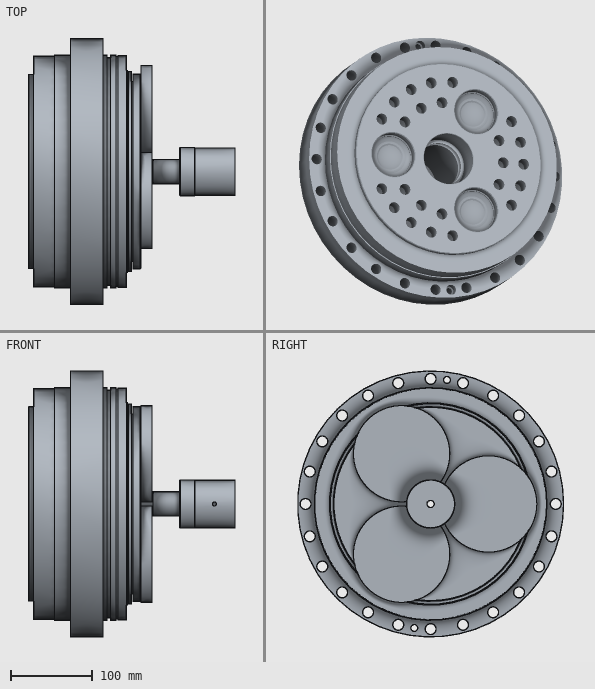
import cadquery as cq
import math


flange_start = 51.5
flange_end = 91.3

boss_diameter = 237.5
boss_end = 6.5
carrier_diameter = 238.0
carrier_end = 137.5
edge_chamfer = 1.0

housing_steps = [
    (282.0, 32.0),
    (284.5, flange_start),
    (325, flange_end),
    (284.5, 96.2),
    (278.2, 100.5),
    (284.5, 107.0),
    (281.0, 109.2),
    (283.0, 119.5),
    (247.3, 121.2),
    (242.0, 122.5),
    (244.7, 125.8),
    (220.5, 127.7),
]

bore_diameter = 63.0
bore_depth = 36.0
rear_bore_diameter = 55.0
bore_chamfer = 0.5
lip_thickness = 1.3
undercut_diameter = 91
undercut_width = 9.8

crank_count = 3
crank_radius = 71.0
pocket_diameter = 55.0
pocket_depth = 11.5
pocket_chamfer = 1.0
seat_outer_diameter = 51.7
seat_inner_diameter = 39.5
seat_start = 12.5
seat_depth = 13.5
recess_outer_diameter = 33.8
recess_inner_diameter = 30.2
recess_depth = 14.3
gear_radius = 58.8
gear_start = carrier_end
gear_end = 151.0

pinion_diameter = 26
pinion_start = 135.0
pinion_chamfer_length = 1.3
pinion_tip_diameter = 19.2
pinion_end = 152.5
shaft_diameter = 30.0
collar_diameter = 59.0
collar_start = 184.3
collar_end = 203.0
collar_chamfer = 1.3
sleeve_diameter = 58.2
overall_length = 252.5
shaft_bore_diameter = 8.5
pin_hole_diameter = 5.0
pin_hole_x = 227.2

bolt_count = 24
bolt_circle_radius = 152.8
bolt_hole_diameter = 13
dowel_angles = [97.5, 277.5]
dowel_hole_diameter = 8.0
dowel_counterbore_diameter = 12.5
dowel_counterbore_depth = 9.8

group_angles = [0, 120, 240]
outer_row_radius = 96.2
outer_row_offsets = [-33, -16.5, 0, 16.5, 33]
inner_row_radius = 70.2
inner_row_offsets = [-23, 0, 23]
tapped_hole_diameter = 13.5
tapped_hole_depth = 19.5
drill_point_angle = 118
flat_bottom_angle = 240


def polar(radius, angle):
    """Position (y, z) at an angle measured from -Y towards +Z."""
    turn = math.radians(angle)
    return -radius * math.cos(turn), radius * math.sin(turn)


def revolve_x(profile):
    """Turn a closed (x, radius) outline about the X axis."""
    return cq.Workplane("XY").polyline(profile).close().revolve(360, (0, 0, 0), (1, 0, 0))


def cylinder(x_start, x_end, diameter, position=(0, 0)):
    """Round bar parallel to X, centred on a (y, z) position."""
    face = cq.Workplane("YZ", origin=(x_start, *position))
    return face.circle(diameter / 2).extrude(x_end - x_start)


def make_housing():
    """Stepped body with a chamfered front boss and a chamfered rear carrier."""
    boss_radius = boss_diameter / 2
    profile = [
        (0, 0),
        (0, boss_radius - edge_chamfer),
        (edge_chamfer, boss_radius),
        (boss_end, boss_radius),
    ]
    step_start = boss_end
    for diameter, step_end in housing_steps:
        profile += [(step_start, diameter / 2), (step_end, diameter / 2)]
        step_start = step_end
    carrier_radius = carrier_diameter / 2
    profile += [
        (step_start, carrier_radius),
        (carrier_end - edge_chamfer, carrier_radius),
        (carrier_end, carrier_radius - edge_chamfer),
        (carrier_end, 0),
    ]
    return revolve_x(profile)


def make_central_bore():
    """Front bore, thin lip, undercut behind the lip, then a plain bore to the back."""
    wide = bore_diameter / 2
    narrow = rear_bore_diameter / 2
    undercut = undercut_diameter / 2
    lip_end = bore_depth + lip_thickness
    undercut_end = lip_end + undercut_width
    return revolve_x([
        (0, 0),
        (0, wide + bore_chamfer),
        (bore_chamfer, wide),
        (bore_depth, wide),
        (bore_depth, narrow),
        (lip_end, narrow),
        (lip_end, undercut),
        (undercut_end, undercut),
        (undercut_end, narrow),
        (carrier_end, narrow),
        (carrier_end, 0),
    ])


def make_crank_pocket():
    """Stepped pocket on the X axis: wall, conical seat, then a tapered end recess."""
    radius = pocket_diameter / 2
    return revolve_x([
        (0, 0),
        (0, radius + pocket_chamfer),
        (pocket_chamfer, radius),
        (pocket_depth, radius),
        (pocket_depth, seat_outer_diameter / 2),
        (seat_start, seat_outer_diameter / 2),
        (seat_depth, seat_inner_diameter / 2),
        (seat_depth, recess_outer_diameter / 2),
        (recess_depth, recess_inner_diameter / 2),
        (recess_depth, 0),
    ])


def make_tapped_hole(pointed):
    """Blind hole on the X axis, with a drill point or a flat bottom."""
    radius = tapped_hole_diameter / 2
    point_length = radius / math.tan(math.radians(drill_point_angle / 2)) if pointed else 0
    profile = [(0, 0), (0, radius), (tapped_hole_depth, radius)]
    profile.append((tapped_hole_depth + point_length, 0))
    return revolve_x(profile)


def make_input_shaft():
    """Pinion, shaft, collar and coupling sleeve in one piece, bored through."""
    pinion = pinion_diameter / 2
    shaft = shaft_diameter / 2
    collar = collar_diameter / 2
    sleeve = sleeve_diameter / 2
    sleeve_start = collar_end + (collar - sleeve)
    body = revolve_x([
        (pinion_start, 0),
        (pinion_start, pinion_tip_diameter / 2),
        (pinion_start + pinion_chamfer_length, pinion),
        (pinion_end, pinion),
        (pinion_end, shaft),
        (collar_start, shaft),
        (collar_start, collar - collar_chamfer),
        (collar_start + collar_chamfer, collar),
        (collar_end, collar),
        (sleeve_start, sleeve),
        (overall_length, sleeve),
        (overall_length, 0),
    ])
    shaft_bore = cylinder(pinion_start, overall_length, shaft_bore_diameter)
    pin_hole = (
        cq.Workplane("XZ", origin=(pin_hole_x, 0, 0))
        .circle(pin_hole_diameter / 2)
        .extrude(sleeve_diameter)
    )
    return body.cut(shaft_bore).cut(pin_hole)


crank_positions = [polar(crank_radius, 180 + i * 360 / crank_count) for i in range(crank_count)]

result = make_housing().cut(make_central_bore())

for y, z in crank_positions:
    result = result.cut(make_crank_pocket().translate((0, y, z)))

tapped_rows = [(outer_row_radius, outer_row_offsets), (inner_row_radius, inner_row_offsets)]
for group_angle in group_angles:
    for row_radius, offsets in tapped_rows:
        for offset in offsets:
            angle = group_angle + offset
            hole = make_tapped_hole(pointed=angle != flat_bottom_angle)
            result = result.cut(hole.translate((0, *polar(row_radius, angle))))

for i in range(bolt_count):
    position = polar(bolt_circle_radius, i * 360 / bolt_count)
    result = result.cut(cylinder(flange_start, flange_end, bolt_hole_diameter, position))

for angle in dowel_angles:
    position = polar(bolt_circle_radius, angle)
    counterbore_end = flange_start + dowel_counterbore_depth
    result = result.cut(cylinder(flange_start, flange_end, dowel_hole_diameter, position))
    result = result.cut(
        cylinder(flange_start, counterbore_end, dowel_counterbore_diameter, position)
    )

for position in crank_positions:
    result = result.union(cylinder(gear_start, gear_end, 2 * gear_radius, position))
result = result.union(make_input_shaft())